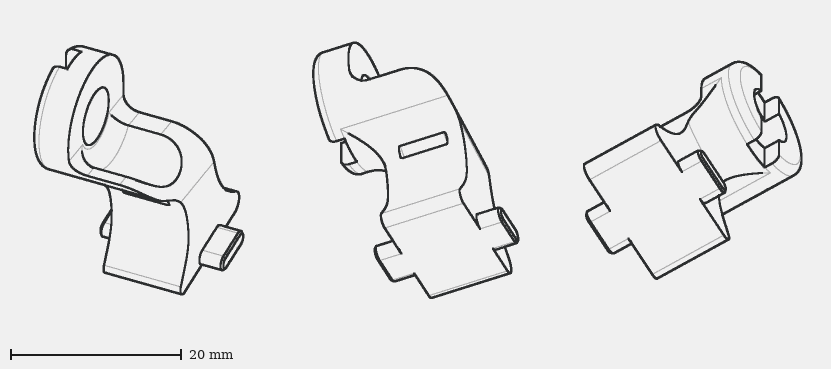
import cadquery as cq
import math

ring_radius = 7.5
ring_width = 4.8
bore_diameter = 7.0
rim_fillet = 1.0
key_slot_width = 3.8
key_slot_depth = 2.0

leg_start = 6.0
leg_end = 16.0
neck_fillet = 4.0
neck_start = leg_start - neck_fillet

ring_touch_angle = math.radians(245.5)
front_curve_points = [(0.42, -9.8), (1.78, -14.9)]

foot_tilt = math.radians(11.0)
toe_radius = 1.0
heel_radius = 1.5
toe_base = (0.75, -22.45)
sole_length = 13.83
toe_normal = math.radians(151.0)
heel_normal = math.radians(62.5)
back_curve_points = [(8.0, -5.6), (9.5, -11.1), (12.05, -15.05)]

shelf_level = -3.75
shelf_fillet = 2.0
shoulder_radius = 5.0
scoop_radius = 6.0

peg_start = 3.0
peg_length = 16.0
peg_width = 6.0
peg_height = 2.0
peg_chamfer = 0.25
peg_from_toe = 7.25

pocket_width = 6.0
pocket_height = 0.9
pocket_depth = 4.0
pocket_corner = 0.25
pocket_slope = 25.0
pocket_mouth = (0.5, -9.95)

fillet_offset = shelf_fillet * (1 - math.sqrt(0.5))

clearance = 10.0


def polar(center, radius, angle):
    """Point at a distance and direction from a centre."""
    return (center[0] + radius * math.cos(angle), center[1] + radius * math.sin(angle))


def foot_point(along, above):
    """Point in YZ, measured along the sole from the toe and above the sole."""
    return (
        toe_base[0] + along * math.cos(foot_tilt) - above * math.sin(foot_tilt),
        toe_base[1] + along * math.sin(foot_tilt) + above * math.cos(foot_tilt),
    )


def leg_blank():
    """Leg outline, running tangentially into the ring, extruded along X."""
    toe_center = foot_point(0, toe_radius)
    heel_center = foot_point(sole_length, heel_radius)

    ring_touch = polar((0, 0), ring_radius, ring_touch_angle)
    ring_direction = (-math.sin(ring_touch_angle), math.cos(ring_touch_angle))
    sole_angle = foot_tilt - math.pi / 2
    toe_middle_angle = (toe_normal + sole_angle + 2 * math.pi) / 2
    heel_middle_angle = (sole_angle + heel_normal) / 2
    toe_end = polar(toe_center, toe_radius, toe_normal)
    toe_direction = (-math.sin(toe_normal), math.cos(toe_normal))
    heel_end = polar(heel_center, heel_radius, heel_normal)
    heel_direction = (-math.sin(heel_normal), math.cos(heel_normal))

    return (
        cq.Workplane("YZ", origin=(neck_start, 0, 0))
        .moveTo(*ring_touch)
        .spline(
            front_curve_points + [toe_end],
            tangents=[ring_direction, toe_direction],
            includeCurrent=True,
        )
        .threePointArc(polar(toe_center, toe_radius, toe_middle_angle), foot_point(0, 0))
        .lineTo(*foot_point(sole_length, 0))
        .threePointArc(polar(heel_center, heel_radius, heel_middle_angle), heel_end)
        .spline(
            back_curve_points[::-1] + [(ring_radius, 0)],
            tangents=[heel_direction, (0, 1)],
            includeCurrent=True,
        )
        .threePointArc((0, ring_radius), (-ring_radius, 0))
        .threePointArc(polar((0, 0), ring_radius, (math.pi + ring_touch_angle) / 2), ring_touch)
        .close()
        .extrude(leg_end - neck_start)
    )


def neck_cutter():
    """Body of revolution that leaves a concave neck between the ring and the leg."""
    outer = ring_radius + neck_fillet
    reach = outer + 2 * clearance
    diagonal = neck_fillet * math.sqrt(0.5)
    return (
        cq.Workplane("XY")
        .moveTo(neck_start, ring_radius)
        .threePointArc((neck_start + diagonal, outer - diagonal), (leg_start, outer))
        .lineTo(leg_start, reach)
        .lineTo(neck_start, reach)
        .close()
        .revolve(360, (0, 0, 0), (1, 0, 0))
    )


def shelf_cutter():
    """Space above the shelf and around its rounded shoulder."""
    flat_start = ring_width + shelf_fillet
    flat_end = leg_end - shoulder_radius
    shoulder_diagonal = shoulder_radius * math.sqrt(0.5)
    shoulder_z = shelf_level - shoulder_radius
    return (
        cq.Workplane("XZ")
        .moveTo(ring_width, clearance)
        .lineTo(ring_width, shelf_level + shelf_fillet)
        .threePointArc((ring_width + fillet_offset, shelf_level + fillet_offset), (flat_start, shelf_level))
        .lineTo(flat_end, shelf_level)
        .threePointArc(
            (flat_end + shoulder_diagonal, shoulder_z + shoulder_diagonal), (leg_end, shoulder_z)
        )
        .lineTo(leg_end + clearance, shoulder_z)
        .lineTo(leg_end + clearance, clearance)
        .close()
        .extrude(ring_radius + clearance, both=True)
    )


def scoop_cutter():
    """Round hollow about the ring axis, filleted into the back face of the ring."""
    return (
        cq.Workplane("XY")
        .moveTo(ring_width, 0)
        .lineTo(ring_width, scoop_radius - shelf_fillet)
        .threePointArc(
            (ring_width + fillet_offset, scoop_radius - fillet_offset),
            (ring_width + shelf_fillet, scoop_radius),
        )
        .lineTo(leg_end + clearance, scoop_radius)
        .lineTo(leg_end + clearance, 0)
        .close()
        .revolve(360, (0, 0, 0), (1, 0, 0))
    )


def ring():
    return cq.Workplane("YZ").circle(ring_radius).extrude(ring_width).faces("<X").edges().fillet(rim_fillet)


def ring_openings():
    """Bore and the key slot across the open face."""
    bore = cq.Workplane("YZ").circle(bore_diameter / 2).extrude(ring_width)
    slot = cq.Workplane("XY").box(
        key_slot_depth, key_slot_width, 2 * ring_radius + clearance, centered=(False, True, True)
    )
    return bore.union(slot)


def peg():
    """Oval peg lying flush with the sole and standing out of both sides of the leg."""
    center = foot_point(peg_from_toe, peg_height / 2)
    return (
        cq.Workplane("YZ", origin=(peg_start, 0, 0))
        .center(*center)
        .slot2D(peg_width, peg_height, math.degrees(foot_tilt))
        .extrude(peg_length)
        .faces("<X or >X")
        .edges()
        .chamfer(peg_chamfer)
    )


def front_pocket():
    """Narrow pocket that slopes down into the leg from its hollow front."""
    return (
        cq.Workplane("XY")
        .box(pocket_width, 2 * pocket_depth, pocket_height)
        .edges("|Y")
        .fillet(pocket_corner)
        .rotate((0, 0, 0), (1, 0, 0), -pocket_slope)
        .translate(((leg_start + leg_end) / 2, *pocket_mouth))
    )


leg = leg_blank().cut(neck_cutter()).cut(shelf_cutter()).cut(scoop_cutter()).cut(front_pocket())
result = leg.union(ring()).cut(ring_openings()).union(peg())